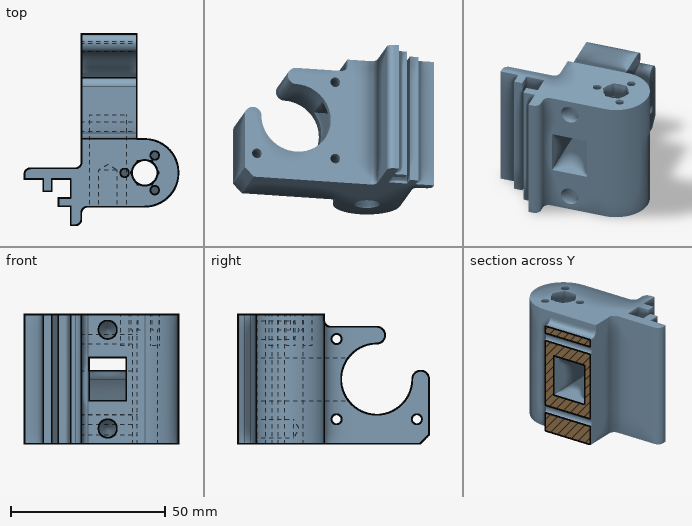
import cadquery as cq
import math

height = 42.0
block_front = 6.0
end_radius = 11.0
block_back = block_front + 2 * end_radius
pivot_x = 39.0
pivot_y = block_front + end_radius

flange_inner = 15.0
flange_thickness = 3.5
flange_outer = flange_inner + flange_thickness
flange_round = 2.0
rib_start = 6.1
rib_width = 2.8
rib_length = 4.0

arm_width = 18.0
arm_end_y = 62.0
arm_top = 38.0
bore_y = 45.0
bore_z = height / 2
bore_radius = 11.5
lip_radius = (arm_end_y - bore_y - bore_radius) / 2
lip_middle_radius = bore_radius + lip_radius
arm_fillet = 2.0
arm_chamfer = 3.0
mount_pitch = 26.0
mount_diameter = 3.2

window_x = 27.0
window_width = 12.0
window_height = 14.0
blind_pitch = 32.0
blind_diameter = 6.0
blind_depth = 12.0
drill_point_angle = 118.0

pivot_diameter = 8.2
hex_across_flats = 7.88
hex_depth = 5.0
screw_count = 3
screw_diameter = 2.8
screw_circle_radius = 6.5
screw_start_angle = 60.0
screw_depth = 10.0


def upright_box(x_min, x_max, y_min, y_max, z_min=0.0, z_max=height):
    """Axis-aligned box between the given limits."""
    size = (x_max - x_min, y_max - y_min, z_max - z_min)
    return cq.Workplane("XY").box(*size, centered=False).translate((x_min, y_min, z_min))


def make_body():
    """Block and L-shaped flanges, with their vertical edges rounded."""
    block = (
        cq.Workplane("XY")
        .moveTo(flange_inner, block_front)
        .lineTo(pivot_x, block_front)
        .radiusArc((pivot_x, block_back), -end_radius)
        .lineTo(flange_outer, block_back)
        .lineTo(flange_outer, flange_outer)
        .lineTo(flange_inner, flange_outer)
        .close()
        .extrude(height)
    )
    x_flange = upright_box(0, flange_outer, flange_inner, flange_outer)
    y_flange = upright_box(flange_inner, flange_outer, 0, flange_outer)
    body = block.union(x_flange).union(y_flange)
    rounded_corners = [
        (0, flange_outer),
        (flange_outer, 0),
        (flange_outer, flange_outer),
        (flange_outer, block_front),
    ]
    for x, y in rounded_corners:
        edge = cq.selectors.NearestToPointSelector((x, y, height / 2))
        body = body.edges("|Z").edges(edge).fillet(flange_round)
    return body


def make_ribs():
    """Two ribs, one on the inner face of each flange."""
    rib_end = rib_start + rib_width
    rib_tip = flange_inner - rib_length
    x_flange_rib = upright_box(rib_start, rib_end, rib_tip, flange_inner)
    y_flange_rib = upright_box(rib_tip, flange_inner, rib_start, rib_end)
    return x_flange_rib.union(y_flange_rib)


def make_arm():
    """Clamp arm: a plate profile in YZ whose open bore is bounded by two rounded lips."""
    lower_bore = -bore_radius * math.sqrt(0.5)
    return (
        cq.Workplane("YZ", origin=(flange_outer, 0, 0))
        .moveTo(block_back, 0)
        .lineTo(arm_end_y - arm_chamfer, 0)
        .lineTo(arm_end_y, arm_chamfer)
        .lineTo(arm_end_y, bore_z)
        .threePointArc(
            (bore_y + lip_middle_radius, bore_z + lip_radius),
            (bore_y + bore_radius, bore_z),
        )
        .threePointArc(
            (bore_y + lower_bore, bore_z + lower_bore),
            (bore_y, bore_z + bore_radius),
        )
        .threePointArc(
            (bore_y + lip_radius, bore_z + lip_middle_radius),
            (bore_y, arm_top),
        )
        .lineTo(block_back + arm_fillet, arm_top)
        .radiusArc((block_back, arm_top + arm_fillet), arm_fillet)
        .close()
        .extrude(arm_width)
    )


def make_mount_holes():
    """Three through holes on a square pattern around the bore; the open corner has none."""
    half = mount_pitch / 2
    positions = [(-half, half), (-half, -half), (half, -half)]
    return (
        cq.Workplane("YZ", origin=(flange_outer, bore_y, bore_z))
        .pushPoints(positions)
        .circle(mount_diameter / 2)
        .extrude(arm_width)
    )


def make_window():
    """Rectangular opening through the block along Y, ending inside the bore."""
    return upright_box(
        window_x - window_width / 2,
        window_x + window_width / 2,
        block_front,
        bore_y,
        bore_z - window_height / 2,
        bore_z + window_height / 2,
    )


def make_blind_hole(z):
    """Blind hole along +Y with a conical drill point."""
    radius = blind_diameter / 2
    point_length = radius / math.tan(math.radians(drill_point_angle / 2))
    profile = (
        cq.Workplane("XY")
        .lineTo(radius, 0)
        .lineTo(radius, blind_depth)
        .lineTo(0, blind_depth + point_length)
        .close()
    )
    return profile.revolve(360, (0, 0), (0, 1)).translate((window_x, block_front, z))


def make_pivot_cuts():
    """Through hole, hexagonal recess in the top and the surrounding screw holes."""
    through_hole = cq.Workplane("XY").circle(pivot_diameter / 2).extrude(height)
    hex_across_corners = hex_across_flats / math.cos(math.pi / 6)
    recess = (
        cq.Workplane("XY", origin=(0, 0, height))
        .polygon(6, hex_across_corners)
        .extrude(-hex_depth)
    )
    screw_holes = (
        cq.Workplane("XY", origin=(0, 0, height))
        .polarArray(screw_circle_radius, screw_start_angle, 360, screw_count)
        .circle(screw_diameter / 2)
        .extrude(-screw_depth)
    )
    return through_hole.union(recess).union(screw_holes).translate((pivot_x, pivot_y, 0))


result = make_body().union(make_ribs()).union(make_arm())
result = result.cut(make_mount_holes()).cut(make_window()).cut(make_pivot_cuts())
for side in (-1, 1):
    result = result.cut(make_blind_hole(bore_z + side * blind_pitch / 2))